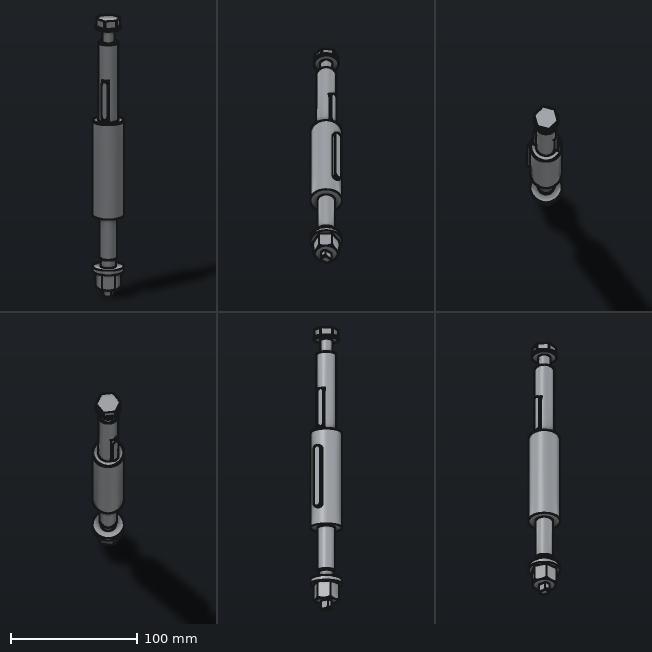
import cadquery as cq
import math

TOTAL_HEIGHT = 230.0

HEAD_FLATS = 17.0
HEAD_CORNER_DIAMETER = 19.0
HEAD_TURN = 0.0
HEAD_HEIGHT = 6.5
FLANGE_DIAMETER = 20.0
FLANGE_HEIGHT = 2.0
FLANGE_CHAMFER = 0.5
SHANK_DIAMETER = 10.0
SHANK_LENGTH = 11.0

UPPER_DIAMETER = 16.0
UPPER_LENGTH = 64.5
BODY_DIAMETER = 25.3
BODY_LENGTH = 78.9
LOWER_DIAMETER = 14.0
LOWER_LENGTH = 36.0
NECK_DIAMETER = 12.0
NECK_LENGTH = 6.2
EDGE_CHAMFER = 0.7

WASHER_DIAMETER = 25.0
WASHER_HEIGHT = 4.0
NUT_FLATS = 18.0
NUT_TURN = -12.0
NUT_HEIGHT = 13.8
NUT_CHAMFER_DIAMETER = 18.0
NUT_CHAMFER_HEIGHT = 1.1
TIP_DIAMETER = 8.5
TIP_FLATS = 6.0
TIP_CHAMFER_WIDTH = 0.57
TIP_CHAMFER_HEIGHT = 1.1

SMALL_KEY_WIDTH = 5.0
SMALL_KEY_LENGTH = 31.7
SMALL_KEY_SPAN = 20.0
SEAT_SIDE_CLEARANCE = 0.2
SEAT_END_CLEARANCE = 0.5
SEAT_DEPTH = 3.0
SEAT_GAP = 1.8
LARGE_KEY_WIDTH = 6.5
LARGE_KEY_LENGTH = 50.8
LARGE_KEY_TOP = 15.5
LARGE_KEY_GAP = 14.3
LARGE_KEY_CHAMFER = 0.5

head_base = TOTAL_HEIGHT - HEAD_HEIGHT
flange_base = head_base - FLANGE_HEIGHT
upper_top = flange_base - SHANK_LENGTH
body_top = upper_top - UPPER_LENGTH
body_base = body_top - BODY_LENGTH
lower_base = body_base - LOWER_LENGTH
washer_top = lower_base - NECK_LENGTH
nut_top = washer_top - WASHER_HEIGHT
nut_base = nut_top - NUT_HEIGHT

seat_width = SMALL_KEY_WIDTH + 2 * SEAT_SIDE_CLEARANCE
seat_length = SMALL_KEY_LENGTH + 2 * SEAT_END_CLEARANCE
seat_middle = body_top + SEAT_GAP + seat_length / 2
small_key_base = seat_middle - SMALL_KEY_LENGTH / 2
large_key_base = body_top - LARGE_KEY_GAP - LARGE_KEY_LENGTH


def cylinder(diameter, base, top):
    return cq.Workplane("XY").workplane(offset=base).circle(diameter / 2).extrude(top - base)


def hexagon(flats, turn, base, top):
    """Hexagonal prism with a corner on -Y, then turned about Z (counterclockwise from above)."""
    sketch = cq.Workplane("XY").workplane(offset=base).polygon(6, flats, circumscribed=True)
    prism = sketch.extrude(top - base)
    return prism.rotate((0, 0, 0), (0, 0, 1), turn)


def key(width, length, start_y, end_y, base):
    """Round-ended key standing along Z and reaching along Y from start_y to end_y."""
    profile = cq.Workplane("XZ", origin=(0, start_y, base + length / 2)).slot2D(length, width, 90)
    return profile.extrude(start_y - end_y)


def head():
    """Hexagonal head with its corners rounded off."""
    prism = hexagon(HEAD_FLATS, HEAD_TURN, head_base, TOTAL_HEIGHT)
    return prism.intersect(cylinder(HEAD_CORNER_DIAMETER, head_base, TOTAL_HEIGHT))


def nut():
    """Hexagonal nut with its lower corners cut by a cone."""
    corner_diameter = NUT_FLATS / math.cos(math.radians(30))
    flare = (corner_diameter - NUT_CHAMFER_DIAMETER) / 2
    envelope = cylinder(corner_diameter, nut_base, nut_top).faces("<Z").chamfer(NUT_CHAMFER_HEIGHT, flare)
    return hexagon(NUT_FLATS, NUT_TURN, nut_base, nut_top).intersect(envelope)


def upper_shaft():
    """Chamfered shaft with a square-ended key seat on -Y and another on +Y."""
    shaft = cylinder(UPPER_DIAMETER, body_top, upper_top).faces(">Z").chamfer(EDGE_CHAMFER)
    seat = cq.Workplane("XY").box(seat_width, 2 * SEAT_DEPTH, seat_length)
    for side in (-1, 1):
        shaft = shaft.cut(seat.translate((0, side * UPPER_DIAMETER / 2, seat_middle)))
    return shaft


def tip():
    """Round tip with two flats facing -Y and +Y."""
    pin = cylinder(TIP_DIAMETER, 0, nut_base).faces("<Z").chamfer(TIP_CHAMFER_HEIGHT, TIP_CHAMFER_WIDTH)
    return pin.intersect(cq.Workplane("XY").box(TIP_DIAMETER, TIP_FLATS, 2 * nut_base))


def lower_shaft():
    """Shaft whose lower edge tapers at 45 degrees down to the neck."""
    taper = (LOWER_DIAMETER - NECK_DIAMETER) / 2
    return cylinder(LOWER_DIAMETER, lower_base, body_base).faces("<Z").chamfer(taper)


def small_keys():
    """Opposite keys on -Y and +Y, made as one bar through the shaft."""
    reach = SMALL_KEY_SPAN / 2
    return key(SMALL_KEY_WIDTH, SMALL_KEY_LENGTH, -reach, reach, small_key_base)


def large_key():
    bar = key(LARGE_KEY_WIDTH, LARGE_KEY_LENGTH, 0, LARGE_KEY_TOP, large_key_base)
    return bar.faces(">Y").chamfer(LARGE_KEY_CHAMFER)


parts = [
    head(),
    cylinder(FLANGE_DIAMETER, flange_base, head_base).faces("<Z").chamfer(FLANGE_CHAMFER),
    cylinder(SHANK_DIAMETER, upper_top, flange_base),
    upper_shaft(),
    cylinder(BODY_DIAMETER, body_base, body_top).faces(">Z").chamfer(EDGE_CHAMFER),
    lower_shaft(),
    cylinder(NECK_DIAMETER, washer_top, lower_base),
    cylinder(WASHER_DIAMETER, nut_top, washer_top),
    nut(),
    tip(),
    small_keys(),
    large_key(),
]

result = parts[0]
for part in parts[1:]:
    result = result.union(part)